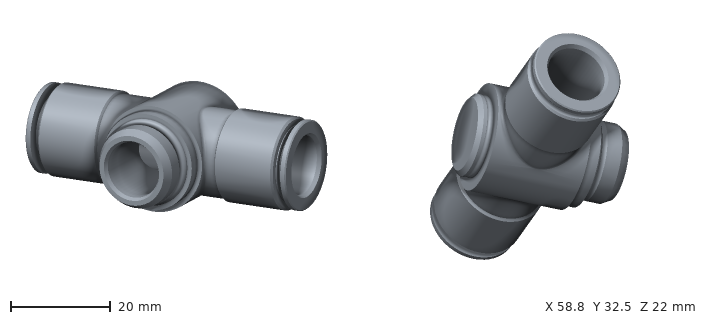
import cadquery as cq
import math


run_length = 58.8
waist_radius = 9.0
sleeve_radius = 9.5
sleeve_start = 13.25
sleeve_end = 26.5
sleeve_chamfer = 0.4
sleeve_lip_radius = 7.95
sleeve_lip_end = 26.7
collar_neck_radius = 6.8
flange_radius = 9.25
flange_thickness = 1.2
flange_chamfer = 0.25

socket_mouth_radius = 6.6
socket_lead_in = 0.8
socket_radius = 6.05
socket_bottom = sleeve_start
passage_radius = 5.25

body_radius = 11.0
body_half_length = 10.0
body_blend = 0.5
seam_margin = 0.3

seat_radius = 10.0
seat_end = 12.5
seal_radius = 9.0
seal_section_radius = 0.9
spigot_neck_radius = 7.25
spigot_start = 13.75
spigot_radius = 8.25
spigot_end = 19.5
spigot_back_chamfer = 0.75
spigot_tip_length = 1.8
spigot_tip_radius = 7.25

cap_radius = 8.45
cap_end = 13.0
cap_chamfer_length = 0.9
cap_chamfer_depth = 1.0
cap_rim_start = 11.35
cap_neck_radius = 7.4
cap_ring_section_radius = 0.95
cap_ring_gap = 0.1

branch_mouth_radius = 6.25
branch_lead_in = 0.8
branch_radius = 5.75
cone_apex = 5.45
cone_angle = 140
cone_depth = branch_radius / math.tan(math.radians(cone_angle / 2))


def turned_about_x(profile):
    """Revolve (x, radius) points that start and finish on the X axis."""
    return cq.Workplane("XY").polyline(profile).close().revolve(360, (0, 0, 0), (1, 0, 0))


def turned_about_y(profile):
    """Revolve (y, radius) points that start and finish on the Y axis."""
    points = [(radius, y) for y, radius in profile]
    return cq.Workplane("XY").polyline(points).close().revolve(360, (0, 0, 0), (0, 1, 0))


def ring_about_y(y, crest_radius, section_radius):
    """Round-section ring around the Y axis whose outermost radius is crest_radius."""
    center_radius = crest_radius - section_radius
    section = cq.Workplane("XY").moveTo(center_radius, y).circle(section_radius)
    return section.revolve(360, (0, 0, 0), (0, 1, 0))


def body_with_waist():
    barrel = cq.Workplane("XZ").circle(body_radius).extrude(body_half_length, both=True)
    waist = cq.Workplane("YZ").circle(waist_radius).extrude(sleeve_end, both=True)
    joined = barrel.union(waist)
    seam_zone = cq.selectors.BoxSelector(
        (-sleeve_start, -waist_radius - seam_margin, -waist_radius - seam_margin),
        (sleeve_start, waist_radius + seam_margin, waist_radius + seam_margin),
        boundingbox=True,
    )
    return joined.edges(seam_zone).fillet(body_blend)


def run_end():
    """Sleeve and release collar at the +X end."""
    end = run_length / 2
    flange_start = end - flange_thickness
    return turned_about_x([
        (sleeve_start, 0),
        (sleeve_start, waist_radius),
        (sleeve_start + sleeve_chamfer, sleeve_radius),
        (sleeve_end - sleeve_chamfer, sleeve_radius),
        (sleeve_end, sleeve_radius - sleeve_chamfer),
        (sleeve_end, sleeve_lip_radius),
        (sleeve_lip_end, sleeve_lip_radius),
        (sleeve_lip_end, collar_neck_radius),
        (flange_start, collar_neck_radius),
        (flange_start, flange_radius),
        (end - flange_chamfer, flange_radius),
        (end, flange_radius - flange_chamfer),
        (end, 0),
    ])


def spigot_side():
    spigot = turned_about_y([
        (0, 0),
        (0, seat_radius),
        (-seat_end, seat_radius),
        (-seat_end, spigot_neck_radius),
        (-spigot_start, spigot_neck_radius),
        (-spigot_start, spigot_radius - spigot_back_chamfer),
        (-spigot_start - spigot_back_chamfer, spigot_radius),
        (-spigot_end + spigot_tip_length, spigot_radius),
        (-spigot_end, spigot_tip_radius),
        (-spigot_end, 0),
    ])
    return spigot.union(ring_about_y(-seat_end, seal_radius, seal_section_radius))


def capped_end():
    cap = turned_about_y([
        (0, 0),
        (0, cap_neck_radius),
        (cap_rim_start, cap_neck_radius),
        (cap_rim_start, cap_radius),
        (cap_end - cap_chamfer_length, cap_radius),
        (cap_end, cap_radius - cap_chamfer_depth),
        (cap_end, 0),
    ])
    ring_y = cap_rim_start - cap_ring_section_radius - cap_ring_gap
    return cap.union(ring_about_y(ring_y, cap_radius, cap_ring_section_radius))


def run_socket():
    """Half of the run bore, from the middle out to the +X end."""
    end = run_length / 2
    return turned_about_x([
        (0, 0),
        (0, passage_radius),
        (socket_bottom - (socket_radius - passage_radius), passage_radius),
        (socket_bottom, socket_radius),
        (end - socket_lead_in, socket_radius),
        (end, socket_mouth_radius),
        (end, 0),
    ])


def branch_bore():
    return turned_about_y([
        (cone_apex, 0),
        (cone_apex - cone_depth, branch_radius),
        (-spigot_end + branch_lead_in, branch_radius),
        (-spigot_end, branch_mouth_radius),
        (-spigot_end, 0),
    ])


def both_ends(solid):
    return solid.union(solid.mirror("YZ"))


result = (
    body_with_waist()
    .union(both_ends(run_end()))
    .union(spigot_side())
    .union(capped_end())
    .cut(both_ends(run_socket()))
    .cut(branch_bore())
)